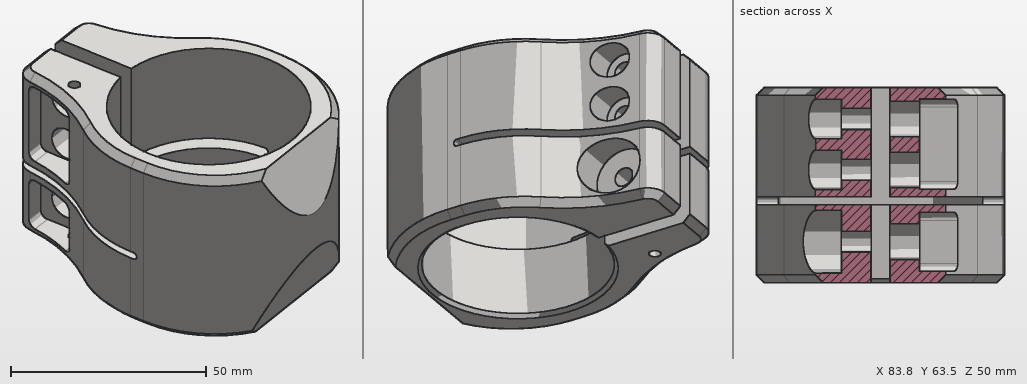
import cadquery as cq
import math


height = 50.0
ring_radius = 31.75
ring_shift = 2.0
ear_end_x = -50.0
ear_corner_radius = 5.0
ear_corner_y = 10.25
waist_radius = 45.0
edge_chamfer = 2.0

bore_radius = 24.65
seat_radius = 26.15
seat_z = 20.0
bore_chamfer = 1.0

clamp_gap = 4.75
slit_width = 2.0
slit_bottom_z = seat_z
slit_end_x = 0.0

back_x = ring_radius + ring_shift
upper_slant_z = 31.0
upper_slant_top_x = 28.2
lower_slant_z = 19.5
lower_slant_bottom_x = 26.6

screw_x = -37.7
upper_screw_zs = (28.9, 41.9)
lower_screw_z = 10.5
upper_screw_diameter = 5.3
lower_screw_diameter = 5.2
upper_head_diameter = 10.0
lower_head_diameter = 16.0
nut_hole_diameter = 9.0
recess_floor_y = 10.0

pocket_width = 16.0
pocket_corner_radius = 2.0
upper_pocket_z = (24.0, 47.0)
lower_pocket_z = (3.0, 18.0)

pin_diameter = 3.1
pin_x = -33.7
pin_y = -12.0

cut_margin = 1.0
side_reach = ring_radius + cut_margin


def point_toward(start, target, distance):
    """Point at the given distance from start along the line to target."""
    span = math.dist(start, target)
    return tuple(s + (t - s) * distance / span for s, t in zip(start, target))


def mirrored(point):
    """Same point on the other side of the mid plane."""
    return (point[0], -point[1])


def arc_middle(center, start, end, radius):
    """Middle point of the arc from start to end."""
    chord_middle = ((start[0] + end[0]) / 2, (start[1] + end[1]) / 2)
    return point_toward(center, chord_middle, radius)


def waist_center():
    """Centre of the arc that touches both the ring arc and the ear corner arc from outside."""
    ring = (-ring_shift, 0.0)
    corner = (ear_end_x + ear_corner_radius, ear_corner_y)
    to_ring = ring_radius + waist_radius
    to_corner = ear_corner_radius + waist_radius
    span = math.dist(corner, ring)
    along = (to_corner**2 - to_ring**2 + span**2) / (2 * span)
    across = math.sqrt(to_corner**2 - along**2)
    foot = point_toward(corner, ring, along)
    direction = ((ring[0] - corner[0]) / span, (ring[1] - corner[1]) / span)
    return (foot[0] - direction[1] * across, foot[1] + direction[0] * across)


def make_body():
    """Ring and ears, with a chamfer around the top and bottom outlines."""
    ring = (-ring_shift, 0.0)
    corner = (ear_end_x + ear_corner_radius, ear_corner_y)
    waist = waist_center()

    ring_top = (-ring_shift, ring_radius)
    waist_start = point_toward(ring, waist, ring_radius)
    waist_end = point_toward(corner, waist, ear_corner_radius)
    corner_end = (ear_end_x, ear_corner_y)

    ring_middle = arc_middle(ring, ring_top, waist_start, ring_radius)
    waist_middle = arc_middle(waist, waist_start, waist_end, waist_radius)
    corner_middle = arc_middle(corner, waist_end, corner_end, ear_corner_radius)

    return (
        cq.Workplane("XY")
        .moveTo(ring_shift, ring_radius)
        .lineTo(*ring_top)
        .threePointArc(ring_middle, waist_start)
        .threePointArc(waist_middle, waist_end)
        .threePointArc(corner_middle, corner_end)
        .lineTo(*mirrored(corner_end))
        .threePointArc(mirrored(corner_middle), mirrored(waist_end))
        .threePointArc(mirrored(waist_middle), mirrored(waist_start))
        .threePointArc(mirrored(ring_middle), mirrored(ring_top))
        .lineTo(ring_shift, -ring_radius)
        .threePointArc((back_x, 0.0), (ring_shift, ring_radius))
        .close()
        .extrude(height)
        .faces("<Z or >Z")
        .edges()
        .chamfer(edge_chamfer)
    )


def make_bore():
    """Stepped bore with a wider seat above and a chamfered mouth below."""
    return (
        cq.Workplane("XZ")
        .moveTo(0.0, 0.0)
        .lineTo(bore_radius + bore_chamfer, 0.0)
        .lineTo(bore_radius, bore_chamfer)
        .lineTo(bore_radius, seat_z)
        .lineTo(seat_radius, seat_z)
        .lineTo(seat_radius, height)
        .lineTo(0.0, height)
        .close()
        .revolve(360, (0, 0), (0, 1))
    )


def make_clamp_gap():
    """Vertical gap from the ear ends to the bore."""
    return (
        cq.Workplane("XY")
        .box(-ear_end_x, clamp_gap, height, centered=(False, True, False))
        .translate((ear_end_x, 0, 0))
    )


def make_slit():
    """Horizontal slit from the ear ends to a round end in the ring."""
    length = slit_end_x - ear_end_x
    middle_z = slit_bottom_z + slit_width / 2
    return (
        cq.Workplane("XZ")
        .center(slit_end_x - length / 2 - slit_width / 2, middle_z)
        .slot2D(length + slit_width, slit_width)
        .extrude(side_reach, both=True)
    )


def make_back_cut(points):
    """Wedge spanning the full body width, outlined in X and Z."""
    return cq.Workplane("XZ").polyline(points).close().extrude(side_reach, both=True)


def make_y_cylinder(diameter, z, start_y, end_y):
    """Cylinder on the screw axis at height z, between two Y positions."""
    axis = cq.Vector(0, 1, 0)
    base = cq.Vector(screw_x, start_y, z)
    return cq.Workplane(cq.Solid.makeCylinder(diameter / 2, end_y - start_y, base, axis))


def cut_screw(part, z, screw_diameter, head_diameter):
    """Nut hole in the -Y ear, screw hole and head bore in the +Y ear."""
    nut_hole = make_y_cylinder(nut_hole_diameter, z, -recess_floor_y, 0.0)
    screw_hole = make_y_cylinder(screw_diameter, z, 0.0, recess_floor_y)
    head_bore = make_y_cylinder(head_diameter, z, recess_floor_y, side_reach)
    return part.cut(nut_hole).cut(screw_hole).cut(head_bore)


def make_pocket(z_range):
    """Rounded rectangular nut pocket sunk into the -Y ear."""
    bottom_z, top_z = z_range
    depth = side_reach - recess_floor_y
    return (
        cq.Workplane("XY")
        .box(pocket_width, depth, top_z - bottom_z)
        .edges("|Y")
        .fillet(pocket_corner_radius)
        .translate((screw_x, -recess_floor_y - depth / 2, (bottom_z + top_z) / 2))
    )


def make_pin_hole(bottom_z, top_z):
    """Vertical hole between two heights."""
    return (
        cq.Workplane("XY", origin=(pin_x, pin_y, bottom_z))
        .circle(pin_diameter / 2)
        .extrude(top_z - bottom_z)
    )


result = make_body().cut(make_bore()).cut(make_clamp_gap()).cut(make_slit())

upper_slant = [(back_x, upper_slant_z), (upper_slant_top_x, height), (back_x, height)]
lower_slant = [(back_x, lower_slant_z), (lower_slant_bottom_x, 0.0), (back_x, 0.0)]
for slant in (upper_slant, lower_slant):
    result = result.cut(make_back_cut(slant))

for pocket_range in (upper_pocket_z, lower_pocket_z):
    result = result.cut(make_pocket(pocket_range))

for screw_z in upper_screw_zs:
    result = cut_screw(result, screw_z, upper_screw_diameter, upper_head_diameter)
result = cut_screw(result, lower_screw_z, lower_screw_diameter, lower_head_diameter)

result = result.cut(make_pin_hole(0.0, lower_pocket_z[0]))
result = result.cut(make_pin_hole(upper_pocket_z[1], height))